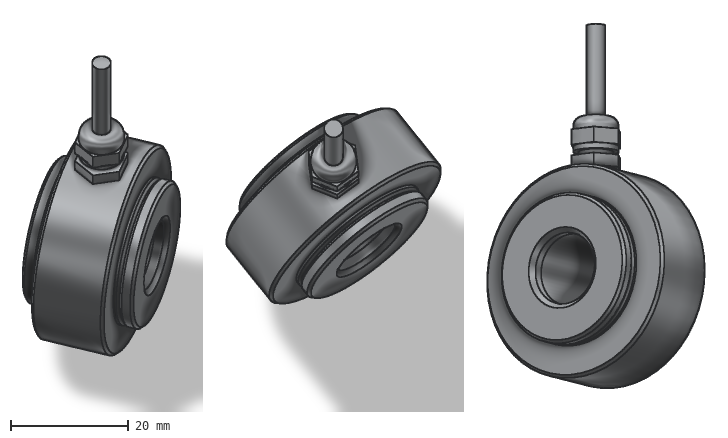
import cadquery as cq
import math

overall_height = 61.95

housing_diameter = 37.0
housing_width = 13.0
hub_diameter = 26.0
hub_width = 15.0
edge_chamfer = 0.5
bore_diameter = 12.3

overall_width = 20.0
bore_mouth_diameter = 14.0

spigot_diameter = 7.0
stem_diameter = 6.0
collar_diameter = 7.8
hex_across_flats = 8.0
lower_hex_height = 2.1
stem_gap = 0.9
collar_height = 0.9
upper_hex_height = 2.65
cap_straight_height = 0.8
cap_fillet = 1.7
socket_depth = 1.0

cable_diameter = 3.2

housing_radius = housing_diameter / 2
gland_seat_z = housing_radius
socket_floor_z = gland_seat_z - socket_depth
lower_hex_top_z = gland_seat_z + lower_hex_height
collar_bottom_z = lower_hex_top_z + stem_gap
upper_hex_bottom_z = collar_bottom_z + collar_height
upper_hex_top_z = upper_hex_bottom_z + upper_hex_height
gland_top_z = upper_hex_top_z + cap_straight_height + cap_fillet
cable_top_z = overall_height - housing_radius
ring_thickness = (overall_width - hub_width) / 2
bore_chamfer = (bore_mouth_diameter - bore_diameter) / 2
hex_across_corners = hex_across_flats / math.cos(math.pi / 6)


def disc_x(diameter, x_start, length):
    """Cylinder along X."""
    return cq.Workplane("YZ").workplane(offset=x_start).circle(diameter / 2).extrude(length)


def cylinder_z(diameter, z_bottom, z_top):
    """Cylinder along Z."""
    return cq.Workplane("XY").workplane(offset=z_bottom).circle(diameter / 2).extrude(z_top - z_bottom)


def hexagon_z(z_bottom, z_top):
    """Hexagonal prism along Z with two corners on the Y axis."""
    return (
        cq.Workplane("XY")
        .workplane(offset=z_bottom)
        .transformed(rotate=(0, 0, 90))
        .polygon(6, hex_across_corners)
        .extrude(z_top - z_bottom)
    )


def make_housing():
    """Chamfered disc with a hub, a through bore and a socket for the gland spigot."""
    rim = disc_x(housing_diameter, -housing_width / 2, housing_width).edges().chamfer(edge_chamfer)
    hub = disc_x(hub_diameter, -hub_width / 2, hub_width).edges().chamfer(edge_chamfer)
    bore = disc_x(bore_diameter, -hub_width / 2, hub_width)
    socket = cylinder_z(spigot_diameter, socket_floor_z, gland_seat_z)
    return rim.union(hub).cut(bore).cut(socket)


def make_pressure_ring(side):
    """Ring against the hub on one side: -1 for -X, +1 for +X."""
    inner_x = hub_width / 2
    ring = disc_x(hub_diameter, inner_x, ring_thickness).edges().chamfer(edge_chamfer)
    ring = ring.cut(disc_x(bore_diameter, inner_x, ring_thickness))
    ring = ring.faces(">X").edges(cq.selectors.RadiusNthSelector(0)).chamfer(bore_chamfer)
    return ring if side > 0 else ring.mirror("YZ")


def make_gland():
    """Spigot in the housing, stem, two hexagons, a collar and a domed cap, in one piece."""
    spigot = cylinder_z(spigot_diameter, socket_floor_z, gland_seat_z)
    stem = cylinder_z(stem_diameter, gland_seat_z, collar_bottom_z)
    cap = cylinder_z(collar_diameter, collar_bottom_z, gland_top_z).faces(">Z").edges().fillet(cap_fillet)
    lower_hex = hexagon_z(gland_seat_z, lower_hex_top_z)
    upper_hex = hexagon_z(upper_hex_bottom_z, upper_hex_top_z)
    return spigot.union(lower_hex).union(stem).union(cap).union(upper_hex)


def make_cable():
    """Straight cable standing on the gland's flat top."""
    return cylinder_z(cable_diameter, gland_top_z, cable_top_z)


housing = make_housing()
pressure_rings = [make_pressure_ring(side) for side in (-1, 1)]
gland = make_gland()
cable = make_cable()

result = cq.Compound.makeCompound(
    [housing.val(), *[ring.val() for ring in pressure_rings], gland.val(), cable.val()]
)